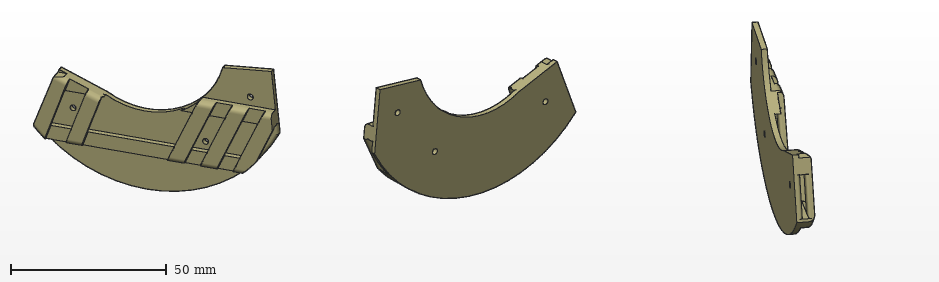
import cadquery as cq
import math

plate_thickness = 2.0
pad_depth = 2 * plate_thickness
rib_depth = 3 * plate_thickness

outer_radius = 51.3
inner_radius = 28.1
inner_center_x = -0.7
inner_center_z = 4.6
left_x = -38.1
right_x = 45.45
left_peak = (-30.3, -13.95)
inner_left_x = -14.45
inner_right_x = 26.3
right_peak = (43.2, -1.5)

band_top = -14.95
band_bottom = -38.35
channel_top = -20.05
channel_bottom = -33.4
rib_round = 1.9
mouth_round = 0.8

left_tilt = 20.0
right_tilt = 24.9
end_rib_right_x = -math.sqrt(outer_radius**2 - band_bottom**2)
second_rib_left_x = -26.65
second_rib_right_x = -21.2
right_rib_x = 8.35
right_rib_width = 5.8
right_rib_pitch = 11.4
right_rib_count = 3

hole_diameter = 2.0
hole_centers = [(-25.5, -26.8), (20.4, -30.6), (35.85, -11.95)]

clearance = 167.1
edge_inset = 1.7


def outer_z(x):
    return -math.sqrt(outer_radius**2 - x**2)


def inner_point(x):
    return (x, inner_center_z - math.sqrt(inner_radius**2 - (x - inner_center_x) ** 2))


left_corner = (left_x, outer_z(left_x))
right_corner = (right_x, outer_z(right_x))
inner_left = inner_point(inner_left_x)


def outline(depth):
    """Crescent outline extruded from the back face to the given depth."""
    return (
        cq.Workplane("XZ")
        .moveTo(*left_corner)
        .lineTo(*left_peak)
        .lineTo(*inner_left)
        .threePointArc((inner_center_x, inner_center_z - inner_radius), inner_point(inner_right_x))
        .lineTo(*right_peak)
        .lineTo(*right_corner)
        .threePointArc((0, -outer_radius), left_corner)
        .close()
        .extrude(depth)
    )


def slab(bottom, top, start_depth, end_depth):
    """Horizontal block across the whole part between two heights and two depths."""
    return (
        cq.Workplane("XZ", origin=(0, -start_depth, (bottom + top) / 2))
        .rect(clearance, top - bottom)
        .extrude(end_depth - start_depth)
    )


def lean(angle, z):
    """X shift of a leaning rib side between the bottom of the band and height z."""
    return (z - band_bottom) * math.tan(math.radians(angle))


def rib_gap(left, left_angle, right, right_angle):
    """Space between two ribs whose facing sides lean by the given angles."""
    left_shift = lean(left_angle, band_top)
    right_shift = lean(right_angle, band_top)
    return (
        cq.Workplane("XZ", origin=(0, -pad_depth, 0))
        .polyline([
            (left, band_bottom),
            (left + left_shift, band_top),
            (right + right_shift, band_top),
            (right, band_bottom),
        ])
        .close()
        .extrude(rib_depth - pad_depth)
    )


def nearest_edges(body, points):
    """Edges of the body passing closest to each of the given points."""
    edges = body.edges().vals()
    picked = []
    for point in points:
        vertex = cq.Vertex.makeVertex(*point)
        picked.append(min(edges, key=lambda edge: edge.distance(vertex)))
    return body.newObject(picked)


band = outline(rib_depth).intersect(slab(band_bottom, right_peak[1], 0, rib_depth))
band = band.cut(rib_gap(end_rib_right_x, left_tilt, second_rib_left_x, left_tilt))
band = band.cut(rib_gap(second_rib_right_x, left_tilt, right_rib_x, right_tilt))
right_rib_starts = [right_rib_x + index * right_rib_pitch for index in range(right_rib_count)]
for start in right_rib_starts:
    band = band.cut(rib_gap(start + right_rib_width, right_tilt, start + right_rib_pitch, right_tilt))

end_slope = (left_peak[1] - inner_left[1]) / (left_peak[0] - inner_left[0])
end_points = []
for x in (left_peak[0] + edge_inset, inner_left[0] - edge_inset):
    end_points.append((x, -rib_depth, left_peak[1] + (x - left_peak[0]) * end_slope))
foot_x = (left_x + end_rib_right_x) / 2
end_points.append((foot_x, -rib_depth, outer_z(foot_x)))
for point in end_points:
    band = nearest_edges(band, [point]).fillet(rib_round)

band = band.intersect(slab(band_bottom, band_top, 0, rib_depth))
rib_ends = [((second_rib_left_x + second_rib_right_x) / 2, -rib_depth, band_bottom)]
for start in right_rib_starts:
    rib_ends.append((start + edge_inset, -rib_depth, band_bottom))
    rib_ends.append((start + edge_inset + lean(right_tilt, band_top), -rib_depth, band_top))
for point in rib_ends:
    band = nearest_edges(band, [point]).fillet(rib_round)

body = outline(plate_thickness).union(band)
body = body.cut(slab(channel_bottom, channel_top, plate_thickness, pad_depth))

mouth_z = (channel_bottom + channel_top) / 2
left_side_run = (left_peak[0] - left_corner[0]) / (left_peak[1] - left_corner[1])
left_mouth_x = left_corner[0] + (mouth_z - left_corner[1]) * left_side_run
right_mouth_x = math.sqrt(outer_radius**2 - mouth_z**2)
right_side_run = (right_peak[0] - right_corner[0]) / (right_peak[1] - right_corner[1])
right_side_z = (channel_top + right_corner[1]) / 2
right_side_x = right_corner[0] + (right_side_z - right_corner[1]) * right_side_run
right_lean = lean(right_tilt, mouth_z)
body = nearest_edges(body, [
    (right_mouth_x, -plate_thickness, mouth_z),
    (right_side_x, -plate_thickness, right_side_z),
]).fillet(mouth_round)
body = nearest_edges(body, [(left_mouth_x, -plate_thickness, mouth_z)]).fillet(mouth_round)
lip_places = [left_mouth_x]
for x in (end_rib_right_x, second_rib_left_x, second_rib_right_x):
    lip_places.append(x + lean(left_tilt, mouth_z))
for start in right_rib_starts:
    lip_places.append(start + right_lean)
    lip_places.append(start + right_rib_width + right_lean)
for x in lip_places:
    body = nearest_edges(body, [(x, -pad_depth, mouth_z)]).fillet(mouth_round)

holes = cq.Workplane("XZ").pushPoints(hole_centers).circle(hole_diameter / 2).extrude(rib_depth)
result = body.cut(holes)